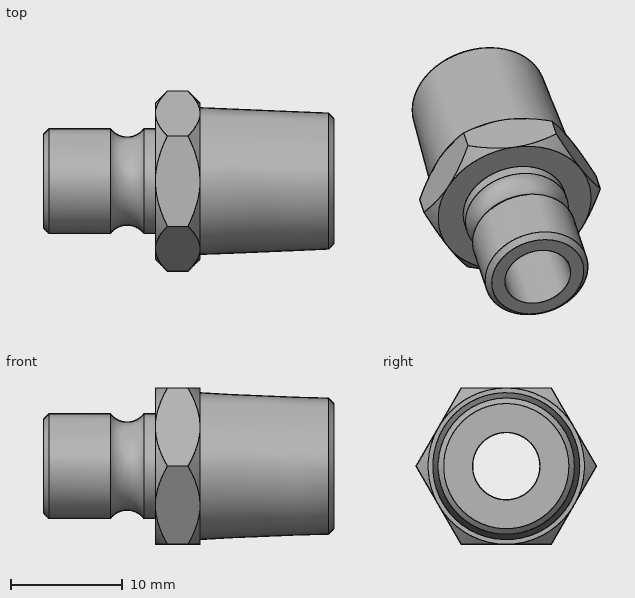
import cadquery as cq
import math


total_length = 26.0
groove_start = 5.98
groove_width = 3.02
hex_start = 10.0
hex_width = 4.0
end_chamfer = 0.5

bore_diameter = 6.0
nose_diameter = 9.4
groove_depth = 0.75
hex_across_flats = 14.0
tail_root_diameter = 13.15
tail_tip_diameter = 12.2

hex_end = hex_start + hex_width
groove_end = groove_start + groove_width
nose_radius = nose_diameter / 2
flat_radius = hex_across_flats / 2
corner_radius = flat_radius / math.cos(math.pi / 6)
corner_chamfer = corner_radius - flat_radius
overlap = hex_width / 2
hex_middle = hex_start + overlap


def revolve_about_x(profile):
    """Turn a closed profile drawn as (x, radius) around the X axis."""
    return profile.close().revolve(360, (0, 0, 0), (1, 0, 0))


def make_nose():
    """Chamfered cylinder with a round-bottomed locking groove."""
    return revolve_about_x(
        cq.Workplane("XY")
        .moveTo(0, 0)
        .lineTo(0, nose_radius - end_chamfer)
        .lineTo(end_chamfer, nose_radius)
        .lineTo(groove_start, nose_radius)
        .threePointArc(
            (groove_start + groove_width / 2, nose_radius - groove_depth),
            (groove_end, nose_radius),
        )
        .lineTo(hex_middle, nose_radius)
        .lineTo(hex_middle, 0)
    )


def make_hex_collar():
    """Hexagon with corners on the Y axis, chamfered by a cone at both faces."""
    hexagon = (
        cq.Workplane("YZ", origin=(hex_start, 0, 0))
        .polygon(6, 2 * corner_radius)
        .extrude(hex_width)
    )
    chamfer_envelope = revolve_about_x(
        cq.Workplane("XY")
        .moveTo(hex_start, 0)
        .lineTo(hex_start, flat_radius)
        .lineTo(hex_start + corner_chamfer, corner_radius)
        .lineTo(hex_end - corner_chamfer, corner_radius)
        .lineTo(hex_end, flat_radius)
        .lineTo(hex_end, 0)
    )
    return hexagon.intersect(chamfer_envelope)


def make_tail():
    """Tapered tail with a chamfered end."""
    tip_radius = tail_tip_diameter / 2
    root_radius = tail_root_diameter / 2
    return revolve_about_x(
        cq.Workplane("XY")
        .moveTo(hex_middle, 0)
        .lineTo(hex_middle, root_radius)
        .lineTo(hex_end, root_radius)
        .lineTo(total_length - end_chamfer, tip_radius)
        .lineTo(total_length, tip_radius - end_chamfer)
        .lineTo(total_length, 0)
    )


bore = cq.Workplane("YZ").circle(bore_diameter / 2).extrude(total_length)

result = make_hex_collar().union(make_nose()).union(make_tail()).cut(bore)